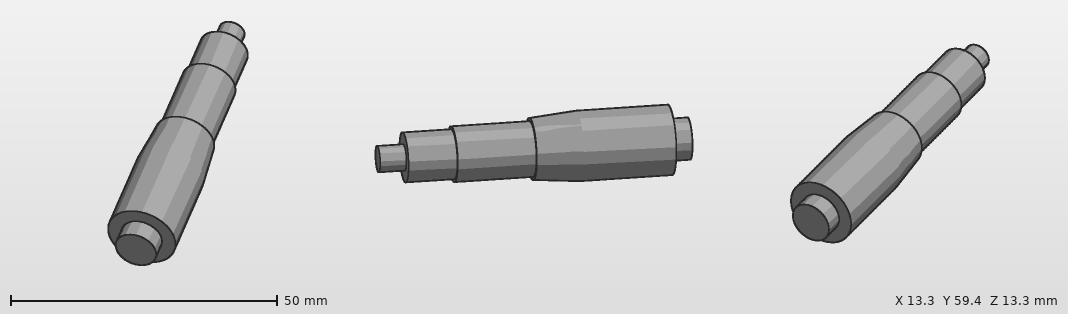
import cadquery as cq

knob_diameter = 8.0
thimble_diameter = 13.3
taper_small_diameter = 11.7
sleeve_diameter = 10.54
stem_diameter = 9.45
spindle_diameter = 5.0

total_length = 59.4
knob_length = 3.6
thimble_length = 17.6
taper_length = 8.9
sleeve_length = 15.0
stem_length = 9.3
spindle_length = total_length - (
    knob_length + thimble_length + taper_length + sleeve_length + stem_length
)

sections = [
    (knob_length, knob_diameter, knob_diameter),
    (thimble_length, thimble_diameter, thimble_diameter),
    (taper_length, thimble_diameter, taper_small_diameter),
    (sleeve_length, sleeve_diameter, sleeve_diameter),
    (stem_length, stem_diameter, stem_diameter),
    (spindle_length, spindle_diameter, spindle_diameter),
]


def half_profile(start_y):
    """Closed half section in the XY plane, from the axis out to each radius."""
    points = [(0, start_y)]
    y = start_y
    for length, start_diameter, end_diameter in sections:
        start_point = (start_diameter / 2, y)
        if start_point != points[-1]:
            points.append(start_point)
        y += length
        points.append((end_diameter / 2, y))
    points.append((0, y))
    return cq.Workplane("XY").polyline(points).close()


result = half_profile(-total_length / 2).revolve(360, (0, 0, 0), (0, 1, 0))